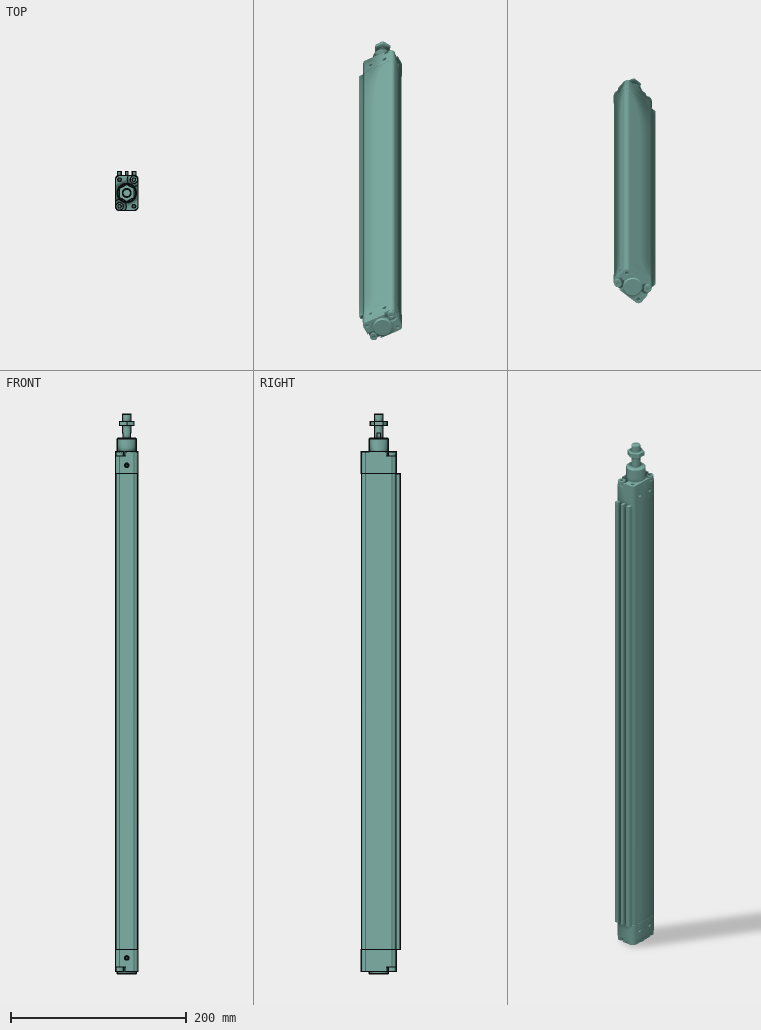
import cadquery as cq
import math


TOTAL_HEIGHT = 637.5

BODY_WIDTH = 26.0
BODY_DEPTH = 40.0
CORNER_RADIUS = 4.8
BARREL_INSET = 0.25
CAP_HEIGHT = 25.0

COLLAR_DIAMETER = 22.0
COLLAR_HEIGHT = 15.5
REAR_BOSS_HEIGHT = 3.0
COLLAR_CHAMFER = 1.0

RIB_HEIGHT = 4.5
CENTRE_RIB_WIDTH = 3.0
OUTER_RIB_WIDTH = 4.5
OUTER_RIB_OFFSET = 8.5

HEAD_RECESS_RADIUS = 7.7
HEAD_DIAMETER = 8.5
HEAD_HEIGHT = 5.0
SOCKET_DIAMETER = 4.0
SOCKET_DEPTH = 2.5

THREAD_HOLE_DIAMETER = 4.13
THREAD_HOLE_DEPTH = 10.0
SIDE_HOLE_HEIGHT = 15.5
SIDE_HOLE_OFFSET = 8.7
SIDE_HOLE_DEPTH = 3.0
STEPPED_HOLE_DIAMETER = 5.0
PILOT_DIAMETER = 3.12
PILOT_DEPTH = 1.5

ROD_DIAMETER = 10.0
ROD_PROJECTION = 27.5
ROD_CHAMFER = 0.75
FLATS_WIDTH = 9.0
FLATS_HEIGHT = 6.0

NUT_ACROSS_FLATS = 17.0
NUT_HEIGHT = 5.0
NUT_FROM_TIP = 8.5

BODY_HEIGHT = TOTAL_HEIGHT - REAR_BOSS_HEIGHT - COLLAR_HEIGHT - ROD_PROJECTION
BARREL_HEIGHT = BODY_HEIGHT - 2 * CAP_HEIGHT
COLLAR_TOP = BODY_HEIGHT + COLLAR_HEIGHT
ROD_TIP = COLLAR_TOP + ROD_PROJECTION
SCREW_X = BODY_WIDTH / 2 - CORNER_RADIUS
SCREW_Y = BODY_DEPTH / 2 - CORNER_RADIUS
NUT_BASE = ROD_TIP - NUT_FROM_TIP - NUT_HEIGHT
NUT_ACROSS_CORNERS = NUT_ACROSS_FLATS / math.cos(math.pi / 6)


def cylinder(diameter, height, x, y, z):
    """Upright cylinder with its lower face centred on (x, y, z)."""
    return cq.Workplane("XY", origin=(x, y, z)).circle(diameter / 2).extrude(height)


def rounded_block(inset, height, z):
    """Upright block with rounded long edges, its sides moved inward by an inset."""
    return (
        cq.Workplane("XY", origin=(0, 0, z))
        .rect(BODY_WIDTH - 2 * inset, BODY_DEPTH - 2 * inset)
        .extrude(height)
        .edges("|Z")
        .fillet(CORNER_RADIUS - inset)
    )


def sensor_rib(x, width):
    """Rib along the barrel, between the caps, standing on the +Y face."""
    depth = RIB_HEIGHT + BARREL_INSET
    rib = cq.Workplane("XY").box(width, depth, BARREL_HEIGHT, centered=(True, False, False))
    return rib.translate((x, BODY_DEPTH / 2 - BARREL_INSET, CAP_HEIGHT))


def add_screw_head(body, side, z):
    """Cut an open corner recess and stand a round screw head, flush with the block, in it."""
    x = side * SCREW_X
    y = side * SCREW_Y
    recess = cylinder(2 * HEAD_RECESS_RADIUS, HEAD_HEIGHT, x, y, z)
    recess = recess.cut(cylinder(COLLAR_DIAMETER, HEAD_HEIGHT, 0, 0, z))
    body = body.cut(recess)
    return body.union(cylinder(HEAD_DIAMETER, HEAD_HEIGHT, x, y, z))


def blind_hole(diameter, depth, entry, direction):
    """Round hole that runs from an entry point along a direction."""
    return cq.Workplane(
        cq.Solid.makeCylinder(diameter / 2, depth, cq.Vector(*entry), cq.Vector(*direction))
    )


def stepped_hole(entry, direction):
    """Side hole with a narrower pilot in its floor."""
    hole = blind_hole(STEPPED_HOLE_DIAMETER, SIDE_HOLE_DEPTH, entry, direction)
    return hole.union(blind_hole(PILOT_DIAMETER, SIDE_HOLE_DEPTH + PILOT_DEPTH, entry, direction))


def build_housing():
    body = rounded_block(BARREL_INSET, BARREL_HEIGHT, CAP_HEIGHT)
    for z in (0, BODY_HEIGHT - CAP_HEIGHT):
        body = body.union(rounded_block(0, CAP_HEIGHT, z))
    body = body.union(sensor_rib(0, CENTRE_RIB_WIDTH))
    for side in (-1, 1):
        body = body.union(sensor_rib(side * OUTER_RIB_OFFSET, OUTER_RIB_WIDTH))

    collar = cylinder(COLLAR_DIAMETER, COLLAR_HEIGHT, 0, 0, BODY_HEIGHT)
    body = body.union(collar.faces(">Z").chamfer(COLLAR_CHAMFER))
    rear_boss = cylinder(COLLAR_DIAMETER, REAR_BOSS_HEIGHT, 0, 0, -REAR_BOSS_HEIGHT)
    body = body.union(rear_boss.faces("<Z").chamfer(COLLAR_CHAMFER))

    for end_z, inward in ((0, 1), (BODY_HEIGHT, -1)):
        for side in (-1, 1):
            recess_base = min(end_z, end_z + inward * HEAD_HEIGHT)
            body = add_screw_head(body, side, recess_base)
            head_centre = (side * SCREW_X, side * SCREW_Y, end_z)
            body = body.cut(blind_hole(SOCKET_DIAMETER, SOCKET_DEPTH, head_centre, (0, 0, inward)))
            thread_centre = (side * SCREW_X, -side * SCREW_Y, end_z)
            body = body.cut(
                blind_hole(THREAD_HOLE_DIAMETER, THREAD_HOLE_DEPTH, thread_centre, (0, 0, inward))
            )

    for z in (SIDE_HOLE_HEIGHT, BODY_HEIGHT - SIDE_HOLE_HEIGHT):
        left_face = -BODY_WIDTH / 2
        plain_entry = (left_face, SIDE_HOLE_OFFSET, z)
        body = body.cut(blind_hole(THREAD_HOLE_DIAMETER, SIDE_HOLE_DEPTH, plain_entry, (1, 0, 0)))
        body = body.cut(stepped_hole((left_face, -SIDE_HOLE_OFFSET, z), (1, 0, 0)))
        body = body.cut(stepped_hole((0, -BODY_DEPTH / 2, z), (0, 1, 0)))

    return body.cut(cylinder(ROD_DIAMETER, COLLAR_HEIGHT, 0, 0, BODY_HEIGHT))


def build_rod():
    rod = cylinder(ROD_DIAMETER, ROD_TIP - BODY_HEIGHT, 0, 0, BODY_HEIGHT)
    rod = rod.faces(">Z").chamfer(ROD_CHAMFER)
    base = cq.Workplane("XY", origin=(0, 0, COLLAR_TOP))
    slab = base.rect(ROD_DIAMETER, ROD_DIAMETER).extrude(FLATS_HEIGHT)
    kept = base.rect(FLATS_WIDTH, ROD_DIAMETER).extrude(FLATS_HEIGHT)
    return rod.cut(slab.cut(kept))


def build_nut():
    return (
        cq.Workplane("XY", origin=(0, 0, NUT_BASE))
        .transformed(rotate=(0, 0, 90))
        .polygon(6, NUT_ACROSS_CORNERS)
        .circle(ROD_DIAMETER / 2)
        .extrude(NUT_HEIGHT)
    )


housing = build_housing()
rod = build_rod()
nut = build_nut()

result = cq.Compound.makeCompound([housing.val(), rod.val(), nut.val()])